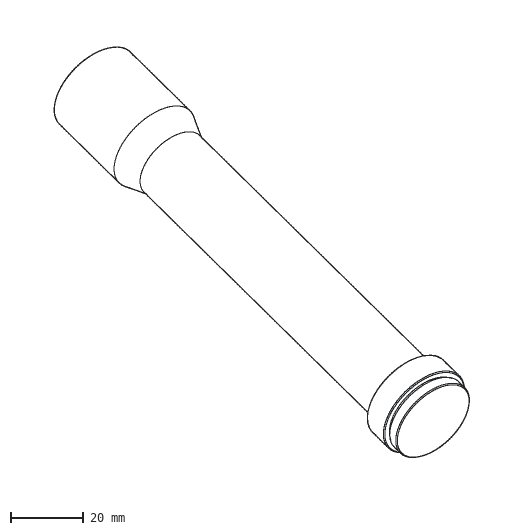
import cadquery as cq

total_length = 156.7
head_diameter = 28.0
head_length = 28.0
edge_chamfer = 0.3
taper_length = 8.0
stem_diameter = 22.0
collar_diameter = head_diameter
collar_length = 8.0
groove_diameter = 24.3
groove_width = 0.9
lip_diameter = 25.4
lip_length = 3.1

taper_end = head_length + taper_length
lip_start = total_length - lip_length
collar_end = lip_start - groove_width
collar_start = collar_end - collar_length

head_radius = head_diameter / 2
stem_radius = stem_diameter / 2
collar_radius = collar_diameter / 2
groove_radius = groove_diameter / 2
lip_radius = lip_diameter / 2

head_points = [
    (0, 0),
    (0, head_radius - edge_chamfer),
    (edge_chamfer, head_radius),
    (head_length, head_radius),
]
stem_points = [
    (taper_end, stem_radius),
    (collar_start, stem_radius),
]
collar_points = [
    (collar_start, collar_radius - edge_chamfer),
    (collar_start + edge_chamfer, collar_radius),
    (collar_end - edge_chamfer, collar_radius),
    (collar_end, collar_radius - edge_chamfer),
]
lip_points = [
    (collar_end, groove_radius),
    (lip_start, groove_radius),
    (lip_start, lip_radius),
    (total_length - edge_chamfer, lip_radius),
    (total_length, lip_radius - edge_chamfer),
    (total_length, 0),
]

half_section = cq.Workplane("XZ").polyline(head_points + stem_points + collar_points + lip_points).close()
result = half_section.revolve(360, (0, 0, 0), (1, 0, 0))